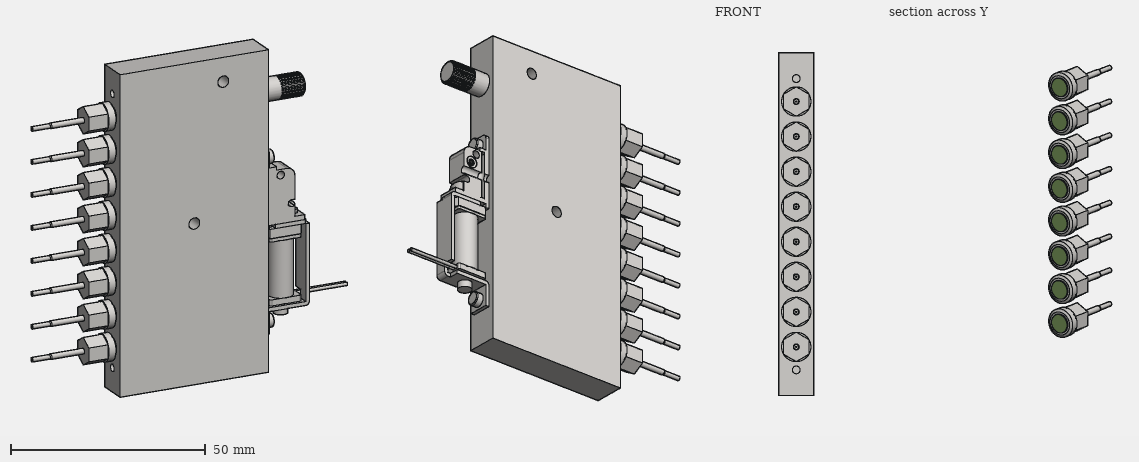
import cadquery as cq
import math


BLOCK_WIDTH = 9.0
BLOCK_DEPTH = 42.6
BLOCK_HEIGHT = 88.0
MOUNT_HOLE_DIA = 3.1
MOUNT_HOLE_INSET = 13.0
END_HOLE_INSET = 6.6
END_HOLE_DIA = 2.0
END_HOLE_DEPTH = 6.0

CONNECTOR_COUNT = 8
CONNECTOR_ROW = 63.0
FLANGE_DIA = 7.5
NECK_DIA = 5.0
NECK_END = 0.45
FLANGE_FACE_DIA = 6.1
FLANGE_CONE_END = 0.8
FLANGE_END = 2.8
HEX_END = 8.35
TUBE_DIA = 1.5
TUBE_END = 17.7
TIP_DIA = 1.3
TIP_START = 18.1
TIP_END = 23.05
BORE_DIA = 0.3
BORE_DEPTH = 2.0

CONNECTOR_PITCH = CONNECTOR_ROW / (CONNECTOR_COUNT - 1)
FIRST_CONNECTOR_Z = (BLOCK_HEIGHT - CONNECTOR_ROW) / 2
LAST_CONNECTOR_Z = BLOCK_HEIGHT - FIRST_CONNECTOR_Z

KNOB_DIA = 6.35
KNOB_LENGTH = 11.5
KNOB_SMOOTH_LENGTH = 4.6
KNOB_CHAMFER = 0.5
KNURL_COUNT = 24
KNURL_WIDTH = 0.41
KNURL_DEPTH = 0.4

SOLENOID_WIDTH = 5.9
SHEET = 1.1
BRACKET_STANDOFF = 12.5
BRACKET_TOP = 39.4
BRACKET_BOTTOM = 15.9
BRACKET_FOOT_BOTTOM = 9.8
BRACKET_TOP_LEG_START = 2.8
BEND_RADIUS = 1.2
LEAD_NOTCH_WIDTH = 2.7
LEAD_NOTCH_TOP = 19.3
LEAD_NOTCH_START = 10.6
CORNER_RELIEF_WIDTH = 2.0

SCREW_DIA = 3.8
SCREW_HEIGHT = 2.0
SCREW_CHAMFER = 0.3
FOOT_SCREW_Z = 12.4
VALVE_SCREW_Z = 57.1

AXIS_STANDOFF = 5.6
CORE_DIA = 3.8
CORE_BOTTOM = 14.0
COIL_DIA = 6.7
BOBBIN_LENGTH = 9.0
BOBBIN_WIDTH = 6.35
BOBBIN_CORNER = 0.45
LOWER_FLANGE_BOTTOM = 17.4
LOWER_FLANGE_TOP = 19.1
UPPER_FLANGE_BOTTOM = 34.85
UPPER_FLANGE_TOP = 35.8
POLE_DISC_DIA = 10.7
POLE_DISC_TOP = BRACKET_TOP - SHEET
BASE_STANDOFF = 11.2
BASE_TOP = 40.75
LOCATING_PIN_DIA = 3.1
BODY_STANDOFF = 8.35
BODY_TOP = 54.2
BODY_CORNER_RADIUS = 2.3
BODY_DRUM_DIA = 7.4
BODY_DRUM_TOP = 43.65
BODY_STEP_STANDOFF = 10.35
BODY_STEP_DIA = 2.1
BODY_STEP_TOP = 41.8
BACK_PLATE_TOP = 59.7
BACK_PLATE_CORNER = 1.1
SCREW_SEAT_TOP = 55.1
CROSS_HOLE_DIA = 2.1
CROSS_HOLE_STANDOFF = 4.3
CROSS_HOLE_Z = 52.6
PORT_STANDOFF = 5.6
PORT_Z = 50.0
PORT_RECESS_DIA = 3.2
PORT_RECESS_DEPTH = 0.2
PORT_DIA = 1.7
PORT_DEPTH = 0.5
PORT_SEAT_DIA = 1.3
PORT_SEAT_DEPTH = 1.1
PORT_BORE_DIA = 0.9
PORT_BORE_DEPTH = 2.0
GROOVE_DIA = 2.1
GROOVE_Z = 46.9
CHANNEL_DIA = 2.0
CHANNEL_STANDOFF = 1.9
CHANNEL_SLOT = 0.9
CHANNEL_DEPTH = 1.0
EDGE_SLOT_HEIGHT = 1.8
EDGE_SLOT_Z = 44.5
EDGE_SLOT_END = 7.35
LEAD_DIA = 0.9
LEAD_Z = 18.3
LEAD_STANDOFF = 25.1
LEAD_OFFSETS = (-1.9, -0.9)

VALVE_FACE = BLOCK_DEPTH
AXIS_Y = VALVE_FACE + AXIS_STANDOFF
SIDE_X = -SOLENOID_WIDTH / 2


def box(x0, x1, y0, y1, z0, z1):
    """Axis-aligned block between two corners."""
    return cq.Workplane("XY").box(x1 - x0, y1 - y0, z1 - z0, centered=False).translate((x0, y0, z0))


def slab(y0, y1, z0, z1, width=SOLENOID_WIDTH):
    """Block centred on the mid plane."""
    return box(-width / 2, width / 2, y0, y1, z0, z1)


def rod(start, direction, diameter, length):
    """Cylinder starting at a point and running along a direction."""
    return cq.Workplane(
        cq.Solid.makeCylinder(diameter / 2, length, cq.Vector(*start), cq.Vector(*direction))
    )


def upright(y, diameter, z0, z1):
    """Vertical cylinder on the mid plane."""
    return rod((0, y, z0), (0, 0, 1), diameter, z1 - z0)


def across(y, z, diameter, width):
    """Cylinder along X that starts at the -X face of the part it cuts."""
    return rod((-width / 2, y, z), (1, 0, 0), diameter, width)


def screw_head(y, z):
    """Chamfered screw head standing on a face at y."""
    head = rod((0, y, z), (0, 1, 0), SCREW_DIA, SCREW_HEIGHT)
    return head.faces(">Y").chamfer(SCREW_CHAMFER)


def make_connector(z):
    """Hose connector: coned flange, hexagon and a stepped tube, pointing to -Y."""
    turned_profile = [
        (0, 0),
        (NECK_DIA / 2, 0),
        (NECK_DIA / 2, -NECK_END),
        (FLANGE_FACE_DIA / 2, -NECK_END),
        (FLANGE_DIA / 2, -FLANGE_CONE_END),
        (FLANGE_DIA / 2, -FLANGE_END),
        (TUBE_DIA / 2, -FLANGE_END),
        (TUBE_DIA / 2, -TUBE_END),
        (TIP_DIA / 2, -TIP_START),
        (TIP_DIA / 2, -TIP_END),
        (0, -TIP_END),
    ]
    turned = cq.Workplane("XY").polyline(turned_profile).close().revolve(360, (0, 0), (0, 1))
    hexagon = (
        cq.Workplane("XZ", origin=(0, -FLANGE_END, 0))
        .transformed(rotate=(0, 0, 90))
        .polygon(6, FLANGE_DIA)
        .extrude(HEX_END - FLANGE_END)
    )
    bore = rod((0, -TIP_END, 0), (0, 1, 0), BORE_DIA, BORE_DEPTH)
    return turned.union(hexagon).cut(bore).translate((0, 0, z))


def make_manifold():
    """Block with its row of connectors."""
    manifold = slab(0, BLOCK_DEPTH, 0, BLOCK_HEIGHT, BLOCK_WIDTH)
    upper_hole_z = BLOCK_HEIGHT - END_HOLE_INSET
    for y, z in ((BLOCK_DEPTH - MOUNT_HOLE_INSET, upper_hole_z), (BLOCK_DEPTH / 2, BLOCK_HEIGHT / 2)):
        manifold = manifold.cut(across(y, z, MOUNT_HOLE_DIA, BLOCK_WIDTH))
    for z in (END_HOLE_INSET, upper_hole_z):
        manifold = manifold.cut(rod((0, 0, z), (0, 1, 0), END_HOLE_DIA, END_HOLE_DEPTH))
    for i in range(CONNECTOR_COUNT):
        manifold = manifold.union(make_connector(FIRST_CONNECTOR_Z + i * CONNECTOR_PITCH))
    return manifold


def make_knob():
    """Round knob with a knurled, chamfered end, in line with the top connector."""
    knob = rod((0, 0, 0), (0, 1, 0), KNOB_DIA, KNOB_LENGTH).faces(">Y").chamfer(KNOB_CHAMFER)
    groove = box(
        -KNURL_WIDTH / 2, KNURL_WIDTH / 2,
        KNOB_SMOOTH_LENGTH, KNOB_LENGTH,
        KNOB_DIA / 2 - KNURL_DEPTH, KNOB_DIA / 2 + KNURL_DEPTH,
    )
    for i in range(KNURL_COUNT):
        knob = knob.cut(groove.rotate((0, 0, 0), (0, 1, 0), (i + 0.5) * 360 / KNURL_COUNT))
    return knob.translate((0, VALVE_FACE, LAST_CONNECTOR_Z))


def make_bracket():
    """Sheet-metal bracket around the coil, held by a screw through its foot."""
    outer = VALVE_FACE + BRACKET_STANDOFF
    inner = outer - SHEET
    foot = VALVE_FACE + SHEET
    bend = BEND_RADIUS * (1 - math.sqrt(0.5))
    outline = (
        cq.Workplane("YZ", origin=(SIDE_X, 0, 0))
        .moveTo(VALVE_FACE + BRACKET_TOP_LEG_START, BRACKET_TOP)
        .lineTo(outer - BEND_RADIUS, BRACKET_TOP)
        .threePointArc((outer - bend, BRACKET_TOP - bend), (outer, BRACKET_TOP - BEND_RADIUS))
        .lineTo(outer, BRACKET_BOTTOM + BEND_RADIUS)
        .threePointArc((outer - bend, BRACKET_BOTTOM + bend), (outer - BEND_RADIUS, BRACKET_BOTTOM))
        .lineTo(foot, BRACKET_BOTTOM)
        .lineTo(foot, BRACKET_FOOT_BOTTOM)
        .lineTo(VALVE_FACE, BRACKET_FOOT_BOTTOM)
        .lineTo(VALVE_FACE, BRACKET_BOTTOM)
        .threePointArc(
            (VALVE_FACE + SHEET * (1 - math.sqrt(0.5)), BRACKET_BOTTOM + SHEET * math.sqrt(0.5)),
            (foot, BRACKET_BOTTOM + SHEET),
        )
        .lineTo(inner, BRACKET_BOTTOM + SHEET)
        .lineTo(inner, BRACKET_TOP - SHEET)
        .lineTo(VALVE_FACE + BRACKET_TOP_LEG_START, BRACKET_TOP - SHEET)
        .close()
    )
    bracket = outline.extrude(SOLENOID_WIDTH)
    lead_notch = box(
        SIDE_X, SIDE_X + LEAD_NOTCH_WIDTH,
        VALVE_FACE + LEAD_NOTCH_START, outer,
        BRACKET_BOTTOM, LEAD_NOTCH_TOP,
    )
    corner_relief = box(
        -SIDE_X - CORNER_RELIEF_WIDTH, -SIDE_X,
        outer - BEND_RADIUS, outer,
        BRACKET_TOP - BEND_RADIUS, BRACKET_TOP,
    )
    core_holes = upright(AXIS_Y, CORE_DIA, BRACKET_BOTTOM, BRACKET_TOP)
    pin_clearance = locating_pin()
    bracket = bracket.cut(lead_notch).cut(corner_relief).cut(core_holes).cut(pin_clearance)
    return bracket.union(screw_head(foot, FOOT_SCREW_Z))


def locating_pin():
    """Pin under the valve base, against the block."""
    return upright(VALVE_FACE + LOCATING_PIN_DIA / 2, LOCATING_PIN_DIA, POLE_DISC_TOP, BRACKET_TOP)


def make_coil():
    """Core, winding, bobbin flanges, pole disc and the two leads."""
    coil = upright(AXIS_Y, CORE_DIA, CORE_BOTTOM, BRACKET_TOP)
    coil = coil.union(upright(AXIS_Y, COIL_DIA, LOWER_FLANGE_TOP, UPPER_FLANGE_BOTTOM))
    for z0, z1 in ((LOWER_FLANGE_BOTTOM, LOWER_FLANGE_TOP), (UPPER_FLANGE_BOTTOM, UPPER_FLANGE_TOP)):
        flange = slab(AXIS_Y - BOBBIN_LENGTH / 2, AXIS_Y + BOBBIN_LENGTH / 2, z0, z1, BOBBIN_WIDTH)
        coil = coil.union(flange.edges("|Z").fillet(BOBBIN_CORNER))
    disc = upright(AXIS_Y, POLE_DISC_DIA, UPPER_FLANGE_TOP, POLE_DISC_TOP)
    disc_flats = slab(AXIS_Y - POLE_DISC_DIA, AXIS_Y + POLE_DISC_DIA, UPPER_FLANGE_TOP, POLE_DISC_TOP)
    coil = coil.union(disc.intersect(disc_flats))
    for x in LEAD_OFFSETS:
        coil = coil.union(rod((x, AXIS_Y, LEAD_Z), (0, 1, 0), LEAD_DIA, LEAD_STANDOFF - AXIS_STANDOFF))
    return coil


def make_valve_body():
    """Valve housing on the base plate, with its back plate and mounting screw."""
    front = VALVE_FACE + BODY_STANDOFF
    plate_front = VALVE_FACE + SHEET
    base = slab(VALVE_FACE, VALVE_FACE + BASE_STANDOFF, BRACKET_TOP, BASE_TOP)
    housing = slab(VALVE_FACE, front, BASE_TOP, BODY_TOP).edges(">Y and >Z").fillet(BODY_CORNER_RADIUS)
    seat = slab(VALVE_FACE, plate_front + SCREW_HEIGHT, BODY_TOP, SCREW_SEAT_TOP)
    back_plate = slab(VALVE_FACE, plate_front, BASE_TOP, BACK_PLATE_TOP)
    back_plate = back_plate.edges("|Y and >Z").fillet(BACK_PLATE_CORNER)
    drum = upright(AXIS_Y, BODY_DRUM_DIA, BASE_TOP, BODY_DRUM_TOP)
    drum = drum.intersect(slab(AXIS_Y, AXIS_Y + BODY_DRUM_DIA, BASE_TOP, BODY_DRUM_TOP))
    step_axis_y = VALVE_FACE + BODY_STEP_STANDOFF - BODY_STEP_DIA / 2
    step = upright(step_axis_y, BODY_STEP_DIA, BASE_TOP, BODY_STEP_TOP)
    base_tab = slab(VALVE_FACE, plate_front, POLE_DISC_TOP, BRACKET_TOP)
    body = base.union(base_tab).union(housing).union(seat).union(back_plate).union(drum).union(step)
    return body.union(screw_head(plate_front, VALVE_SCREW_Z))


def cut_valve_details(body):
    """Cross hole, port, groove, wire channel and edge slot in the valve housing."""
    front = VALVE_FACE + BODY_STANDOFF
    body = body.cut(across(VALVE_FACE + CROSS_HOLE_STANDOFF, CROSS_HOLE_Z, CROSS_HOLE_DIA, SOLENOID_WIDTH))

    port_steps = (
        (PORT_RECESS_DIA, PORT_RECESS_DEPTH),
        (PORT_DIA, PORT_DEPTH),
        (PORT_SEAT_DIA, PORT_SEAT_DEPTH),
        (PORT_BORE_DIA, PORT_BORE_DEPTH),
    )
    for diameter, depth in port_steps:
        body = body.cut(rod((SIDE_X, VALVE_FACE + PORT_STANDOFF, PORT_Z), (1, 0, 0), diameter, depth))

    body = body.cut(rod((SIDE_X, VALVE_FACE, GROOVE_Z), (0, 1, 0), GROOVE_DIA, BODY_STANDOFF))

    channel_y = VALVE_FACE + CHANNEL_STANDOFF
    channel_x = SIDE_X + CHANNEL_DEPTH
    channel = rod((channel_x, channel_y, BASE_TOP), (0, 0, 1), CHANNEL_DIA, BODY_TOP - BASE_TOP)
    mouth_y0 = channel_y - CHANNEL_SLOT / 2
    mouth = box(SIDE_X, channel_x, mouth_y0, mouth_y0 + CHANNEL_SLOT, BASE_TOP, BODY_TOP)
    body = body.cut(channel).cut(mouth)

    slot_end_y = VALVE_FACE + EDGE_SLOT_END
    slot_z0 = EDGE_SLOT_Z - EDGE_SLOT_HEIGHT / 2
    edge_slot = slab(slot_end_y, front, slot_z0, slot_z0 + EDGE_SLOT_HEIGHT)
    edge_slot = edge_slot.union(across(slot_end_y, EDGE_SLOT_Z, EDGE_SLOT_HEIGHT, SOLENOID_WIDTH))
    return body.cut(edge_slot)


def make_solenoid_valve():
    """Valve housing and coil, joined by the core through the bracket."""
    return cut_valve_details(make_valve_body()).union(locating_pin()).union(make_coil())


manifold = make_manifold()
knob = make_knob()
bracket = make_bracket()
solenoid_valve = make_solenoid_valve()

result = cq.Compound.makeCompound([
    manifold.solids().val(),
    knob.solids().val(),
    bracket.solids().val(),
    solenoid_valve.solids().val(),
])